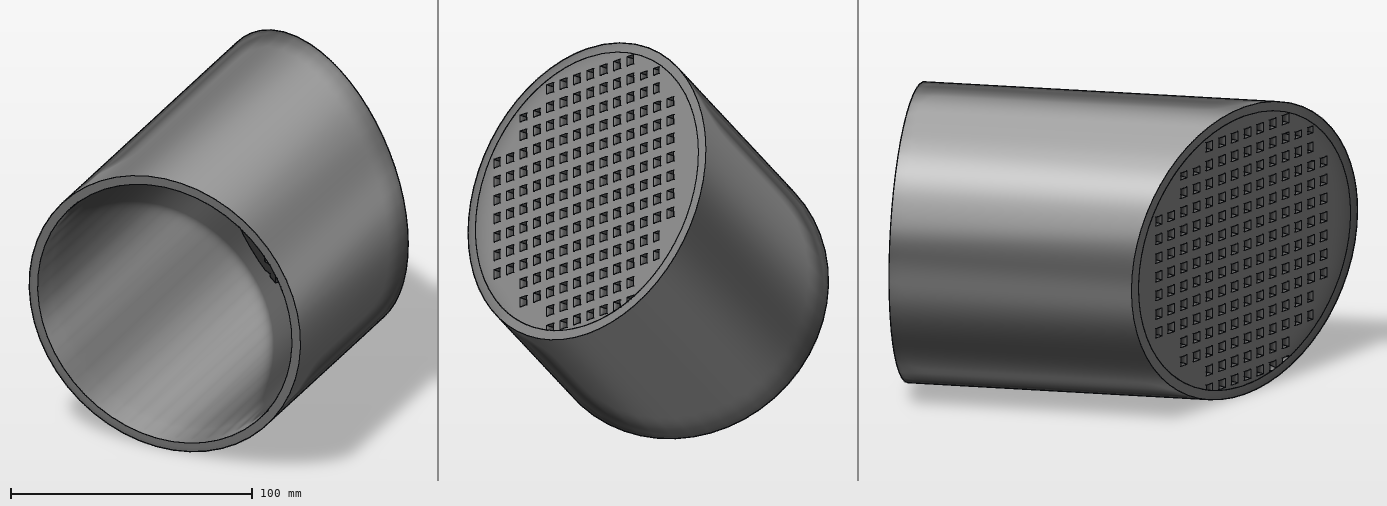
import cadquery as cq
import math

tube_diameter = 125.0
bore_diameter = 117.1
tube_length = 174.3
mitre_angle = 30

plate_thickness = 4.0

openings_per_side = 14
mesh_size = 109.5
mesh_center_across = 2.1
mesh_center_z = -2.0
opening_size = mesh_size / (2 * openings_per_side - 1)
mesh_pitch = 2 * opening_size

arm_width = 56.5
arm_length = 2 * arm_width
middle_square = 87.2

mitre_rise = tube_diameter * math.tan(math.radians(mitre_angle))
slab_width = 4 * tube_length
full_depth = 2 * tube_length

mitre_sine = math.sin(math.radians(mitre_angle))
mitre_cosine = math.cos(math.radians(mitre_angle))

end_plane = cq.Plane(origin=(0, 0, 0), xDir=(0, 0, 1), normal=(0, 1, 0))

mitre_plane = cq.Plane(
    origin=(0, tube_length - mitre_rise / 2, 0),
    xDir=(mitre_cosine, -mitre_sine, 0),
    normal=(-mitre_sine, -mitre_cosine, 0),
)


def slab_under_mitre(depth):
    """Slab wider than the tube, reaching from the mitre plane to the given depth."""
    return cq.Workplane(mitre_plane).rect(slab_width, slab_width).extrude(depth)


def make_tube():
    pipe = (
        cq.Workplane(end_plane)
        .circle(tube_diameter / 2)
        .circle(bore_diameter / 2)
        .extrude(tube_length)
    )
    return pipe.intersect(slab_under_mitre(full_depth))


def make_open_field():
    """Stepped prism that limits where the mesh is open."""
    field = cq.Workplane(mitre_plane).rect(middle_square, middle_square).extrude(plate_thickness)
    for across, height in [(arm_length, arm_width), (arm_width, arm_length)]:
        field = field.union(cq.Workplane(mitre_plane).rect(across, height).extrude(plate_thickness))
    return field


def make_openings():
    """All mesh openings, cut off at the edge of the stepped field."""
    mesh = (
        cq.Workplane(mitre_plane)
        .center(mesh_center_across, mesh_center_z)
        .rarray(mesh_pitch, mesh_pitch, openings_per_side, openings_per_side)
        .rect(opening_size, opening_size)
        .extrude(plate_thickness)
    )
    return mesh.intersect(make_open_field())


def make_grille():
    bore_core = cq.Workplane(end_plane).circle(bore_diameter / 2).extrude(tube_length)
    plate = bore_core.intersect(slab_under_mitre(plate_thickness))
    return plate.cut(make_openings())


tube = make_tube()
grille = make_grille()

result = cq.Compound.makeCompound([tube.val(), grille.solids().val()])